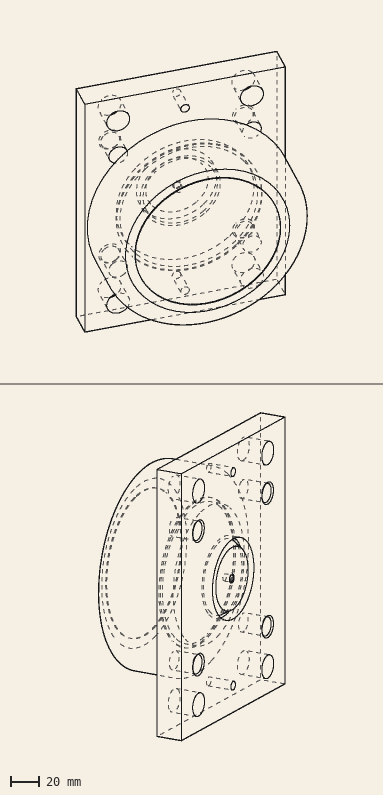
import cadquery as cq
import math

plate_thickness = 20.0
plate_width = 150.0
plate_height = 200.0

hole_offset_y = 50.0
bolt_hole_offset_z = 80.0
bolt_hole_diameter = 17.2
threaded_hole_offset_z = 50.0
threaded_hole_diameter = 14.0
threaded_hole_mouth_diameter = 16.5
small_hole_offset_z = 80.0
small_hole_diameter = 6.5

hub_diameter = 103.0
collar_diameter = 108.8
collar_start = 28.8
roller_start = 30.0
roller_diameter = 153.8
roller_shoulder = 72.8
overall_depth = 73.5
back_edge_radius = 2.2
front_edge_radius = 3.5
front_cone_angle = 20.0
front_face_diameter = 122.8

pocket_diameter = 60.0
pin_root_diameter = 55.5
pin_end_diameter = 46.8
pin_recess = 1.0
pin_cone_angle = 30.0
pin_cone_drop = (pin_root_diameter - pin_end_diameter) / 2
pocket_depth = pin_recess + pin_cone_drop / math.tan(math.radians(pin_cone_angle))
center_hole_mouth_diameter = 6.5
center_hole_diameter = 5.2
center_hole_depth = 6.0
drill_point_angle = 118.0


def cylinder_x(diameter, start, end):
    """Cylinder on the X axis between two X positions."""
    return cq.Workplane("YZ").workplane(offset=start).circle(diameter / 2).extrude(end - start)


def cone_x(start_diameter, end_diameter, start, end):
    """Cone or frustum on the X axis between two X positions."""
    profile = [(start, 0), (start, start_diameter / 2), (end, end_diameter / 2)]
    if end_diameter > 0:
        profile.append((end, 0))
    return cq.Workplane("XY").polyline(profile).close().revolve(360, (0, 0, 0), (1, 0, 0))


def make_plate():
    """Plate with its through holes, chamfered threaded holes and the pin pocket."""
    plate = cq.Workplane("YZ").rect(plate_width, plate_height).extrude(plate_thickness)

    bolt_hole = cylinder_x(bolt_hole_diameter, 0, plate_thickness)
    mouth_depth = (threaded_hole_mouth_diameter - threaded_hole_diameter) / 2
    threaded_hole = cylinder_x(threaded_hole_diameter, 0, plate_thickness).union(
        cone_x(threaded_hole_mouth_diameter, threaded_hole_diameter, 0, mouth_depth)
    )
    small_hole = cylinder_x(small_hole_diameter, 0, plate_thickness)

    for side_z in (-1, 1):
        plate = plate.cut(small_hole.translate((0, 0, side_z * small_hole_offset_z)))
        for side_y in (-1, 1):
            y = side_y * hole_offset_y
            plate = plate.cut(bolt_hole.translate((0, y, side_z * bolt_hole_offset_z)))
            plate = plate.cut(threaded_hole.translate((0, y, side_z * threaded_hole_offset_z)))

    return plate.cut(cylinder_x(pocket_diameter, 0, pocket_depth))


def make_roller():
    """Roller body with a rounded back edge and a coned, rounded front edge."""
    cone_drop = (roller_diameter - front_face_diameter) / 2
    cone_start = roller_shoulder - cone_drop * math.tan(math.radians(front_cone_angle))
    roller = cylinder_x(roller_diameter, roller_start, cone_start).union(
        cone_x(roller_diameter, front_face_diameter, cone_start, roller_shoulder)
    )
    roller = roller.faces("%CONE").edges("<X").fillet(front_edge_radius)
    return roller.faces("<X").edges().fillet(back_edge_radius)


def make_hub():
    """Hub between plate and roller, and the collar that shows on both sides of the roller."""
    hub = cylinder_x(hub_diameter, plate_thickness, collar_start)
    return hub.union(cylinder_x(collar_diameter, collar_start, overall_depth))


def make_pin_end():
    """Tapered pin end rising from the pocket floor to just below the back face."""
    return cone_x(pin_end_diameter, pin_root_diameter, pin_recess, pocket_depth)


def make_center_hole():
    """Blind drilled hole with a chamfered mouth and a conical bottom."""
    mouth_end = pin_recess + (center_hole_mouth_diameter - center_hole_diameter) / 2
    straight_end = pin_recess + center_hole_depth
    point_length = center_hole_diameter / 2 / math.tan(math.radians(drill_point_angle / 2))
    mouth = cone_x(center_hole_mouth_diameter, center_hole_diameter, pin_recess, mouth_end)
    shaft = cylinder_x(center_hole_diameter, pin_recess, straight_end)
    point = cone_x(center_hole_diameter, 0, straight_end, straight_end + point_length)
    return mouth.union(shaft).union(point)


result = make_plate().union(make_hub()).union(make_roller()).union(make_pin_end())
result = result.cut(make_center_hole())